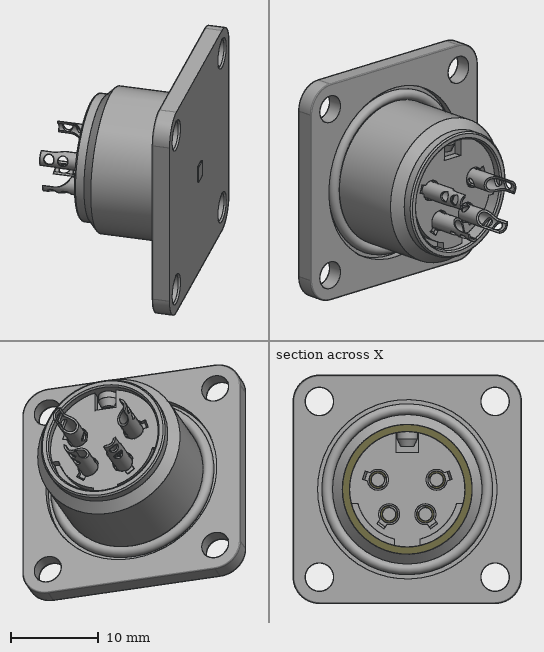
import cadquery as cq
import math


flange_side = 26.0
flange_thickness = 2.05
corner_radius = 3.05
flange_edge_fillet = 0.1
mount_hole_diameter = 3.2
mount_hole_chamfer = 0.2
mount_pitch = 20.0
mark_width = 1.6
mark_height = 1.95
mark_thickness = 0.15

body_diameter = 17.0
groove_diameter = 20.4
groove_depth = 0.94
ring_section_radius = 0.62
ring_protrusion = 0.29
ring_overlap = 0.03

shell_length = 10.7
neck_diameter = 14.8
neck_length = 1.17
neck_chamfer = 0.18
shoulder_length = (body_diameter - neck_diameter) / 2

recess_diameter = 13.1
recess_depth = 1.0
recess_chamfer = 0.18
end_x = -shell_length
floor_x = end_x + recess_depth

keyway_width = 2.52
keyway_bottom_z = 4.2
keyway_depth = 1.0
key_diameter = 2.45
key_bottom_z = 4.85
key_chamfer_height = 0.88
key_chamfer_width = 0.4
key_protrusion = 0.83

pocket_inner_diameter = 11.7
pocket_depth = 1.0
pocket_top_z = -1.6
pocket_gap = 2.85

pin_diameter = 2.0
pin_bore_diameter = 1.5
pin_length = 4.9
pin_bore_depth = 7.8
pin_circle_radius = 3.5
pin_step_angle = 72
pin_count = 4
cup_cut_height = 0.5
cup_flat_length = 1.35
cup_arc_radius = 1.82
wire_hole_diameter = 1.2
wire_hole_places = (1.07, 2.7)
vent_hole_diameter = 1.0
vent_hole_place = 5.4
tip_x = end_x - pin_length

clearance_diameter = 2.4
clearance_depth = 0.5
notch_width = 1.0
notch_reach = 1.7
notch_end_slope = 0.25


def cylinder_x(diameter, start_x, length):
    """Cylinder along X that starts at start_x."""
    return cq.Workplane("YZ", origin=(start_x, 0, 0)).circle(diameter / 2).extrude(length)


def cone_x(start_diameter, end_diameter, start_x, length):
    """Cone frustum along X that starts at start_x."""
    return (
        cq.Workplane("YZ", origin=(start_x, 0, 0))
        .circle(start_diameter / 2)
        .workplane(offset=length)
        .circle(end_diameter / 2)
        .loft()
    )


def floor_box(depth, width, bottom_z, height):
    """Box that reaches `depth` below the recess floor, centred on Y = 0."""
    box = cq.Workplane("XY").box(depth, width, height, centered=(False, True, False))
    return box.translate((floor_x, 0, bottom_z))


def make_flange():
    plate = (
        cq.Workplane("YZ")
        .rect(flange_side, flange_side)
        .extrude(flange_thickness)
        .edges("|X")
        .fillet(corner_radius)
        .faces("<X")
        .edges()
        .fillet(flange_edge_fillet)
    )
    chamfer_x = flange_thickness - mount_hole_chamfer
    chamfer_diameter = mount_hole_diameter + 2 * mount_hole_chamfer
    hole = cylinder_x(mount_hole_diameter, 0, flange_thickness).union(
        cone_x(mount_hole_diameter, chamfer_diameter, chamfer_x, mount_hole_chamfer)
    )
    for side_y in (-1, 1):
        for side_z in (-1, 1):
            plate = plate.cut(hole.translate((0, side_y * mount_pitch / 2, side_z * mount_pitch / 2)))
    groove = cylinder_x(groove_diameter, 0, groove_depth)
    mark = (
        cq.Workplane("YZ", origin=(flange_thickness, 0, 0))
        .rect(mark_width, mark_height)
        .extrude(mark_thickness)
    )
    return plate.cut(groove).union(mark)


def make_shell():
    body_r = body_diameter / 2
    neck_r = neck_diameter / 2
    neck_end_x = end_x + neck_length
    return (
        cq.Workplane("XY")
        .moveTo(groove_depth, 0)
        .lineTo(groove_depth, body_r)
        .lineTo(neck_end_x + shoulder_length, body_r)
        .lineTo(neck_end_x, neck_r)
        .lineTo(end_x + neck_chamfer, neck_r)
        .lineTo(end_x, neck_r - neck_chamfer)
        .lineTo(end_x, 0)
        .close()
        .revolve(360, (0, 0, 0), (1, 0, 0))
    )


def make_sealing_ring():
    section_x = ring_section_radius - ring_protrusion
    section_y = body_diameter / 2 + ring_section_radius - ring_overlap
    return (
        cq.Workplane("XY")
        .center(section_x, section_y)
        .circle(ring_section_radius)
        .revolve(360, (0, -section_y, 0), (1, -section_y, 0))
    )


def make_recess():
    recess = cylinder_x(recess_diameter, end_x, recess_depth)
    mouth_diameter = recess_diameter + 2 * recess_chamfer
    return recess.union(cone_x(mouth_diameter, recess_diameter, end_x, recess_chamfer))


def make_keyway():
    window_height = recess_diameter / 2 - keyway_bottom_z
    window = floor_box(keyway_depth, keyway_width, keyway_bottom_z, window_height)
    return window.intersect(cylinder_x(recess_diameter, floor_x, keyway_depth))


def make_key():
    key_x = floor_x + keyway_depth - key_protrusion + key_diameter / 2
    key_height = recess_diameter / 2 - key_bottom_z
    return (
        cq.Workplane("XY", origin=(key_x, 0, key_bottom_z))
        .circle(key_diameter / 2)
        .extrude(key_height)
        .faces("<Z")
        .edges()
        .chamfer(key_chamfer_height, key_chamfer_width)
    )


def make_floor_pockets():
    recess_r = recess_diameter / 2
    band = cylinder_x(recess_diameter, floor_x, pocket_depth).cut(
        cylinder_x(pocket_inner_diameter, floor_x, pocket_depth)
    )
    lower_part = floor_box(pocket_depth, recess_diameter, -recess_r, recess_r + pocket_top_z)
    gap = floor_box(pocket_depth, pocket_gap, -recess_r, recess_r)
    return band.intersect(lower_part).cut(gap)


def place_pin_feature(feature, index):
    """Move a feature made on the X axis to pin `index`; its +Z side turns outward."""
    angle = pin_step_angle * (index + 1)
    return feature.translate((0, 0, pin_circle_radius)).rotate((0, 0, 0), (1, 0, 0), angle)


def make_pin_bore():
    return cylinder_x(pin_bore_diameter, tip_x, pin_bore_depth)


def make_pin():
    pin_r = pin_diameter / 2
    rod_length = floor_x + clearance_depth - tip_x
    rod = cylinder_x(pin_diameter, tip_x, rod_length)

    cut_depth = cup_cut_height + pin_r
    arc_length_x = math.sqrt(cut_depth * (2 * cup_arc_radius - cut_depth))
    cup_cut = (
        cq.Workplane("XZ", origin=(tip_x, pin_r, 0))
        .moveTo(0, cup_cut_height)
        .lineTo(cup_flat_length, cup_cut_height)
        .radiusArc((cup_flat_length + arc_length_x, -pin_r), cup_arc_radius)
        .lineTo(0, -pin_r)
        .close()
        .extrude(pin_diameter)
    )
    wire_holes = (
        cq.Workplane("XY", origin=(tip_x, 0, 0))
        .pushPoints([(place, 0) for place in wire_hole_places])
        .circle(wire_hole_diameter / 2)
        .extrude(pin_r)
    )
    vent_hole = (
        cq.Workplane("XY", origin=(tip_x + vent_hole_place, 0, 0))
        .circle(vent_hole_diameter / 2)
        .extrude(-pin_r)
    )
    return rod.cut(make_pin_bore()).cut(cup_cut).cut(wire_holes).cut(vent_hole)


def make_pin_clearance():
    notch = (
        cq.Workplane("XZ", origin=(floor_x, notch_width / 2, 0))
        .lineTo(0, notch_reach)
        .lineTo(clearance_depth, notch_reach - notch_end_slope)
        .lineTo(clearance_depth, 0)
        .close()
        .extrude(notch_width)
    )
    clearance = cylinder_x(clearance_diameter, floor_x, clearance_depth)
    return clearance.union(notch).union(make_pin_bore())


result = make_flange().union(make_shell()).union(make_sealing_ring())
result = result.cut(make_recess()).cut(make_keyway()).cut(make_floor_pockets())
result = result.union(make_key())

pin = make_pin()
pin_clearance = make_pin_clearance()
for pin_index in range(pin_count):
    result = result.cut(place_pin_feature(pin_clearance, pin_index))
    result = result.union(place_pin_feature(pin, pin_index))